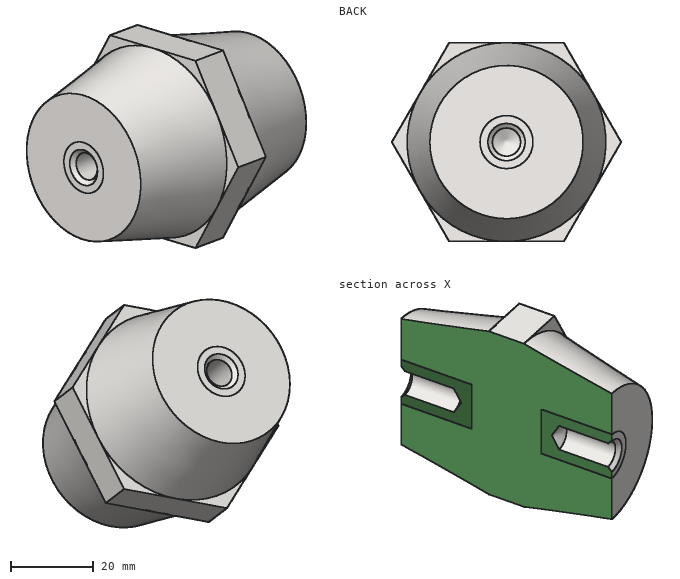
import cadquery as cq
import math


total_length = 60.0
half_length = total_length / 2
collar_across_flats = 48.0
collar_width = 10.0
end_diameter = 37.0

insert_diameter = 12.8
insert_length = 20.0
bore_diameter = 6.8
bore_depth = 15.0
countersink_diameter = 9.0
countersink_angle = 90.0
drill_tip_angle = 118.0


def cone_height(diameter, included_angle):
    """Axial length of a cone with the given diameter change and included angle."""
    return diameter / 2 / math.tan(math.radians(included_angle / 2))


def revolve_about_y(profile):
    """Revolve a closed (radius, y) profile in the XY plane about the Y axis."""
    return profile.close().revolve(360, (0, 0, 0), (0, 1, 0))


def make_housing():
    """Double-tapered body with a hexagonal collar and a blind pocket in each end."""
    collar_across_corners = collar_across_flats / math.cos(math.pi / 6)
    collar = (
        cq.Workplane("XZ")
        .polygon(6, collar_across_corners)
        .extrude(collar_width / 2, both=True)
    )

    body = revolve_about_y(
        cq.Workplane("XY")
        .moveTo(0, -half_length)
        .lineTo(end_diameter / 2, -half_length)
        .lineTo(collar_across_flats / 2, -collar_width / 2)
        .lineTo(collar_across_flats / 2, collar_width / 2)
        .lineTo(end_diameter / 2, half_length)
        .lineTo(0, half_length)
    )

    pockets = (
        cq.Workplane("XZ")
        .circle(insert_diameter / 2)
        .extrude(half_length, both=True)
    )
    solid_core = (
        cq.Workplane("XZ")
        .circle(insert_diameter / 2)
        .extrude(half_length - insert_length, both=True)
    )
    return body.union(collar).cut(pockets.cut(solid_core))


def make_insert(end):
    """Round insert at the +Y (end = 1) or -Y (end = -1) face, with a blind countersunk bore."""
    outer_face = end * half_length
    inner_face = end * (half_length - insert_length)
    countersink_depth = cone_height(countersink_diameter - bore_diameter, countersink_angle)
    tip_depth = bore_depth + cone_height(bore_diameter, drill_tip_angle)
    return revolve_about_y(
        cq.Workplane("XY")
        .moveTo(0, inner_face)
        .lineTo(insert_diameter / 2, inner_face)
        .lineTo(insert_diameter / 2, outer_face)
        .lineTo(countersink_diameter / 2, outer_face)
        .lineTo(bore_diameter / 2, outer_face - end * countersink_depth)
        .lineTo(bore_diameter / 2, outer_face - end * bore_depth)
        .lineTo(0, outer_face - end * tip_depth)
    )


housing = make_housing()
inserts = [make_insert(end) for end in (-1, 1)]

result = cq.Compound.makeCompound([housing.val(), *[insert.val() for insert in inserts]])